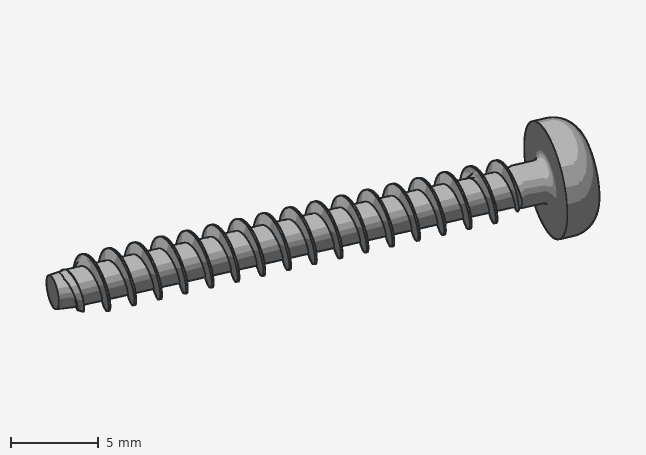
import cadquery as cq
head_diameter = 6.9
head_height = 2.3
rim_height = 0.86
dome_radius = 1.62

shank_length = 30.0
neck_diameter = 2.5
neck_fillet = 0.5
neck_length = 1.75
neck_taper_end = 2.3
core_diameter = 2.2
tip_diameter = 2.0
tip_taper_length = 1.0

thread_diameter = 3.5
thread_pitch = 1.57
thread_start = 1.345
thread_turns = 18
crest_width = 0.12
root_width = 0.46
root_embed = 0.15

run_in_start = 1.75
run_in_end = 2.5
run_out_start = 27.9
run_out_end = 29.4
run_in_radius = 1.1
run_out_radius = 1.0

head_radius = head_diameter / 2
neck_radius = neck_diameter / 2
core_radius = core_diameter / 2
tip_radius = tip_diameter / 2
tip_start = shank_length - tip_taper_length
thread_radius = thread_diameter / 2

ORIGIN = (0, 0, 0)
X_AXIS = (1, 0, 0)
Z_AXIS = (0, 0, 1)


def revolve_profile(profile):
    """Turn a closed (radius, depth) profile around the screw axis."""
    return profile.close().revolve(360, (0, 0, 0), (0, 1, 0))


def make_head():
    dome_height = head_height - rim_height
    dome_inset = dome_radius - (dome_radius**2 - dome_height**2) ** 0.5
    flat_radius = head_radius - dome_inset
    profile = (
        cq.Workplane("XZ")
        .moveTo(0, 0)
        .lineTo(head_radius, 0)
        .lineTo(head_radius, -rim_height)
        .radiusArc((flat_radius, -head_height), dome_radius)
        .lineTo(0, -head_height)
    )
    return revolve_profile(profile)


def make_neck():
    """Plain shank under the head, filleted into it and narrowing to the core."""
    profile = (
        cq.Workplane("XZ")
        .moveTo(0, 0)
        .lineTo(neck_radius + neck_fillet, 0)
        .radiusArc((neck_radius, neck_fillet), neck_fillet)
        .lineTo(neck_radius, neck_length)
        .lineTo(core_radius, neck_taper_end)
        .lineTo(0, neck_taper_end)
    )
    return revolve_profile(profile)


def make_core():
    return cq.Workplane("XY").circle(core_radius).extrude(tip_start)


def make_tip():
    base = cq.Vector(0, 0, tip_start)
    return cq.Workplane(obj=cq.Solid.makeCone(core_radius, tip_radius, tip_taper_length, base))


def make_trimmer(start, end, cone_start, cone_end, cone_start_radius, cone_end_radius):
    """Disc between two depths, wider than the thread, that spares a coaxial cone."""
    disc = cq.Workplane("XY", origin=(0, 0, start)).circle(thread_diameter).extrude(end - start)
    base = cq.Vector(0, 0, cone_start)
    cone = cq.Solid.makeCone(cone_start_radius, cone_end_radius, cone_end - cone_start, base)
    return disc.cut(cq.Workplane(obj=cone))


def make_thread():
    """Helical ridge of trapezoidal section, faded in and out at its ends."""
    flank_slope = (root_width - crest_width) / 2 / (thread_radius - core_radius)
    base_radius = core_radius - root_embed
    base_half_width = root_width / 2 + flank_slope * root_embed
    helix = cq.Wire.makeHelix(thread_pitch, thread_pitch * thread_turns, core_radius)
    ridge = (
        cq.Workplane("XZ")
        .polyline(
            [
                (base_radius, -base_half_width),
                (thread_radius, -crest_width / 2),
                (thread_radius, crest_width / 2),
                (base_radius, base_half_width),
            ]
        )
        .close()
        .sweep(cq.Workplane(obj=helix), isFrenet=True)
    )
    ridge = ridge.rotate(ORIGIN, Z_AXIS, 180).translate((0, 0, thread_start))
    run_in = make_trimmer(0, run_in_end, run_in_start, run_in_end, run_in_radius, thread_radius)
    sweep_end = shank_length + 2 * thread_pitch
    run_out = make_trimmer(run_out_start, sweep_end, run_out_start, run_out_end, thread_radius, run_out_radius)
    return ridge.cut(run_in).cut(run_out)


screw = make_core().union(make_thread()).union(make_tip()).union(make_neck()).union(make_head())
result = screw.rotate(ORIGIN, X_AXIS, 90)